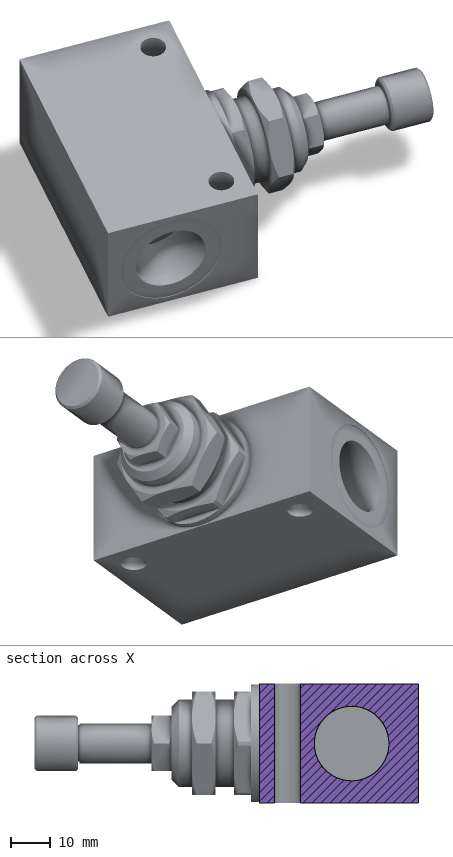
import cadquery as cq
import math

total_length = 96.4
block_width = 65.0
block_length = 40.0
block_height = 30.0

port_diameter = 18.6
port_depth = 15.0
port_y = 16.9
spotface_diameter = 27.0
spotface_depth = 0.2

mount_hole_diameter = 6.5
mount_hole_spacing = 50.0
mount_hole_y = 33.0

flange_end = 42.0
base_hex_end = 46.4
lock_nut_start = 50.9
lock_nut_end = 56.9
sleeve_end = 62.0
stem_nut_end = 67.0
stem_end = 85.0
knob_start = 85.4

flange_diameter = 29.5
sleeve_diameter = 22.0
sleeve_chamfer = 1.8
stem_diameter = 10.0
neck_diameter = 9.3
knob_diameter = 14.0
knob_chamfer = 0.6

large_across_flats = 26.0
small_across_flats = 14.0
hex_chamfer_angle = 30.0
hex_half_angle = 30.0


def cylinder(diameter, start, end):
    """Round section of the valve, with its axis along Z."""
    return cq.Workplane("XY").workplane(offset=start).circle(diameter / 2).extrude(end - start)


def chamfer_envelope(across_flats, start, end, chamfer_start):
    """Turned shape that bevels the corners of a hexagon, at its end and optionally its start."""
    flat_radius = across_flats / 2
    corner_radius = flat_radius / math.cos(math.radians(hex_half_angle))
    drop = (corner_radius - flat_radius) * math.tan(math.radians(hex_chamfer_angle))
    profile = cq.Workplane("XZ").moveTo(0, start)
    if chamfer_start:
        profile = profile.lineTo(flat_radius, start).lineTo(corner_radius, start + drop)
    else:
        profile = profile.lineTo(corner_radius, start)
    profile = profile.lineTo(corner_radius, end - drop).lineTo(flat_radius, end).lineTo(0, end)
    return profile.close().revolve(360, (0, 0, 0), (0, 1, 0))


def hexagon(across_flats, start, end, chamfer_start=True):
    """Hexagonal section with two corners on the X axis and bevelled corners."""
    across_corners = across_flats / math.cos(math.radians(hex_half_angle))
    prism = cq.Workplane("XY").workplane(offset=start).polygon(6, across_corners).extrude(end - start)
    return prism.intersect(chamfer_envelope(across_flats, start, end, chamfer_start))


def make_block():
    """Rectangular body with mounting holes and a spot-faced port at each end."""
    block = cq.Workplane("XY").box(block_width, block_length, block_height, centered=(True, False, True))
    mount_holes = (
        cq.Workplane("XY", origin=(0, mount_hole_y, -block_height / 2))
        .rarray(mount_hole_spacing, 1, 2, 1)
        .circle(mount_hole_diameter / 2)
        .extrude(block_height)
    )
    block = block.cut(mount_holes)
    for side in (-1, 1):
        end_face = cq.Workplane("YZ", origin=(side * block_width / 2, port_y, 0))
        block = block.cut(end_face.circle(port_diameter / 2).extrude(-side * port_depth))
        block = block.cut(end_face.circle(spotface_diameter / 2).extrude(-side * spotface_depth))
    return block


def make_valve():
    """Adjustable valve insert, built along Z and turned to point along +Y."""
    base_hex = hexagon(large_across_flats, flange_end, base_hex_end, chamfer_start=False)
    base_hex = base_hex.intersect(cylinder(flange_diameter, flange_end, base_hex_end))
    sections = [
        base_hex,
        cylinder(sleeve_diameter, base_hex_end, sleeve_end).faces(">Z").chamfer(sleeve_chamfer),
        hexagon(large_across_flats, lock_nut_start, lock_nut_end),
        hexagon(small_across_flats, sleeve_end, stem_nut_end),
        cylinder(stem_diameter, stem_nut_end, stem_end),
        cylinder(neck_diameter, stem_end, knob_start),
        cylinder(knob_diameter, knob_start, total_length).faces("<Z or >Z").chamfer(knob_chamfer),
    ]
    valve = cylinder(flange_diameter, block_length, flange_end)
    for section in sections:
        valve = valve.union(section)
    return valve.rotate((0, 0, 0), (1, 0, 0), -90)


result = make_block().union(make_valve())